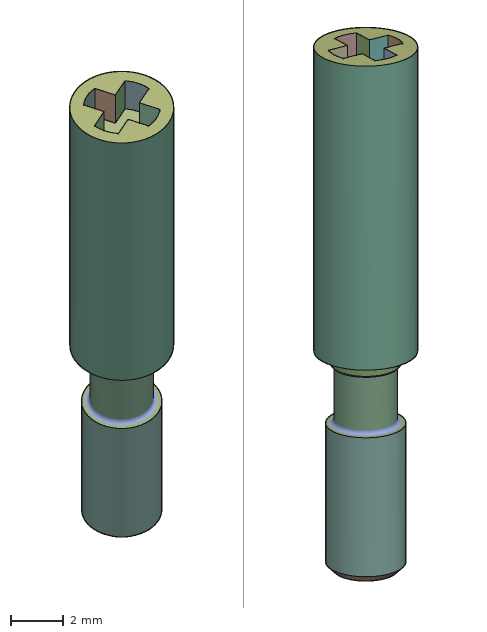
import cadquery as cq

total_height = 21.6
head_diameter = 4.0
head_bottom = 9.03
collar_diameter = 2.7
collar_bottom = 8.45
collar_chamfer = 0.06
neck_diameter = 2.45
shank_diameter = 3.09
shank_top = 6.05
neck_fillet = 0.17
tip_chamfer = 0.3

recess_diameter = 2.94
recess_depth = 1.5
slot_width = 1.02
slot_angles = (45, 135)


def turned_body():
    """Revolve the stepped half profile about the Z axis."""
    head_radius = head_diameter / 2
    collar_radius = collar_diameter / 2
    neck_radius = neck_diameter / 2
    shank_radius = shank_diameter / 2
    profile = (
        cq.Workplane("XZ")
        .lineTo(shank_radius - tip_chamfer, 0)
        .lineTo(shank_radius, tip_chamfer)
        .lineTo(shank_radius, shank_top)
        .lineTo(neck_radius + neck_fillet, shank_top)
        .radiusArc((neck_radius, shank_top + neck_fillet), neck_fillet)
        .lineTo(neck_radius, collar_bottom)
        .lineTo(collar_radius - collar_chamfer, collar_bottom)
        .lineTo(collar_radius, collar_bottom + collar_chamfer)
        .lineTo(collar_radius, head_bottom)
        .lineTo(head_radius, head_bottom)
        .lineTo(head_radius, total_height)
        .lineTo(0, total_height)
        .close()
    )
    return profile.revolve(360, (0, 0, 0), (0, 1, 0))


def cross_recess():
    """Two crossed slots whose ends follow a common circle."""
    floor = cq.Workplane("XY").workplane(offset=total_height - recess_depth)
    envelope = floor.circle(recess_diameter / 2).extrude(recess_depth)
    slots = cq.Workplane("XY")
    for angle in slot_angles:
        slot = floor.rect(recess_diameter, slot_width).extrude(recess_depth)
        slots = slots.add(slot.rotate((0, 0, 0), (0, 0, 1), angle))
    return slots.combine().intersect(envelope)


result = turned_body().cut(cross_recess())